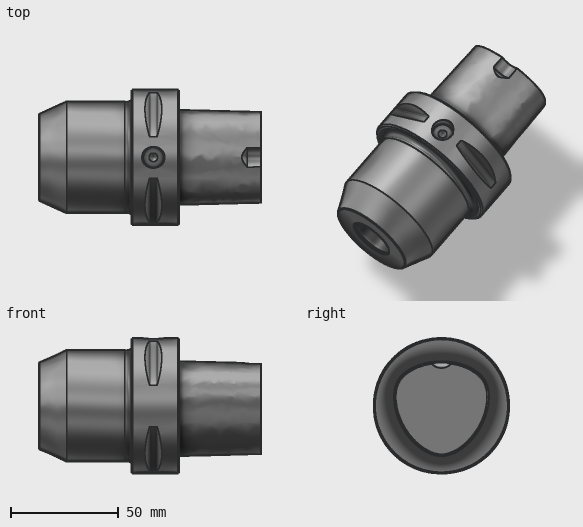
import cadquery as cq
import math

LENGTH = 103.0

NOSE_DIA = 40.6
NOSE_CHAMFER = 0.6
NOSE_CONE_LENGTH = 12.9
BODY_DIA = 52.0
RELIEF_DIA = 51.8
RELIEF_START = 39.9
FILLET_START = 41.1

FLANGE_DIA = 63.0
FLANGE_START = 42.8
FLANGE_END = 65.0
FLANGE_CHAMFER = 0.7
RECESS_OUTER_DIA = 58.3
RECESS_INNER_DIA = 56.2
RECESS_DEPTH = 0.5

SHANK_BASE_WIDTH = 44.2
SHANK_TAPER = 1 / 20
LOBE_HEIGHT = 1.3
SHANK_POINTS = 72

KEYWAY_LENGTH = 6.4
KEYWAY_RADIUS = 5.9
KEYWAY_FLOOR_HEIGHT = 17.5

BORE_DIA = 20.0
BORE_DEPTH = 51.5
BORE_FLOOR_CHAMFER = 0.4
MOUTH_DIA = 20.5
MOUTH_DEPTH = 1.0
MOUTH_CHAMFER = 0.4

GROOVE_CENTRE = 53.0
GROOVE_FLOOR_WIDTH = 3.5
GROOVE_FLOOR_FILLET = 0.6
GROOVE_TOP_WIDTH = 7.8
GROOVE_FLOOR_RADIUS = 28.0
GROOVE_ANGLES = (45, 135, 225, 315)
CODING_HOLE_DIA = 10.0
CODING_HOLE_DEPTH = 4.9
CODING_HOLE_CHAMFER = 0.3
DIMPLE_DIA = 4.0
DIMPLE_POINT_ANGLE = 118.0


def make_body():
    """Nose, cylindrical body and flange, turned about X."""
    nose_radius = NOSE_DIA / 2
    flange_radius = FLANGE_DIA / 2
    relief_radius = RELIEF_DIA / 2
    recess_radius = RECESS_INNER_DIA / 2
    recess_floor = FLANGE_START + RECESS_DEPTH
    return (
        cq.Workplane("XY")
        .moveTo(0, 0)
        .lineTo(0, nose_radius - NOSE_CHAMFER)
        .lineTo(NOSE_CHAMFER / 2, nose_radius)
        .lineTo(NOSE_CONE_LENGTH, BODY_DIA / 2)
        .lineTo(RELIEF_START, BODY_DIA / 2)
        .lineTo(RELIEF_START, relief_radius)
        .lineTo(FILLET_START, relief_radius)
        .tangentArcPoint((recess_floor, recess_radius), relative=False)
        .lineTo(FLANGE_START, RECESS_OUTER_DIA / 2)
        .lineTo(FLANGE_START, flange_radius - FLANGE_CHAMFER)
        .lineTo(FLANGE_START + FLANGE_CHAMFER, flange_radius)
        .lineTo(FLANGE_END - FLANGE_CHAMFER, flange_radius)
        .lineTo(FLANGE_END, flange_radius - FLANGE_CHAMFER)
        .lineTo(FLANGE_END, 0)
        .close()
        .revolve(360, (0, 0, 0), (1, 0, 0))
    )


def lobed_outline(width):
    """Points of a constant-width three-lobed curve with one lobe toward -Z."""
    points = []
    for index in range(SHANK_POINTS):
        angle = 2 * math.pi * index / SHANK_POINTS
        reach = width / 2 + LOBE_HEIGHT * math.sin(3 * angle)
        slope = 3 * LOBE_HEIGHT * math.cos(3 * angle)
        y = reach * math.cos(angle) - slope * math.sin(angle)
        z = reach * math.sin(angle) + slope * math.cos(angle)
        points.append((y, z))
    return points


def make_shank():
    """Loft between the lobed sections at the flange and at the free end."""
    length = LENGTH - FLANGE_END
    end_width = SHANK_BASE_WIDTH - SHANK_TAPER * length
    return (
        cq.Workplane("YZ", origin=(FLANGE_END, 0, 0))
        .spline(lobed_outline(SHANK_BASE_WIDTH), periodic=True)
        .close()
        .workplane(offset=length)
        .spline(lobed_outline(end_width), periodic=True)
        .close()
        .loft(combine=True)
    )


def make_bore():
    """Blind clamping bore with a chamfered, slightly wider mouth and a chamfered floor."""
    radius = BORE_DIA / 2
    mouth_radius = MOUTH_DIA / 2
    return (
        cq.Workplane("XY")
        .moveTo(0, 0)
        .lineTo(0, mouth_radius + MOUTH_CHAMFER)
        .lineTo(MOUTH_CHAMFER, mouth_radius)
        .lineTo(MOUTH_DEPTH, mouth_radius)
        .lineTo(MOUTH_DEPTH, radius)
        .lineTo(BORE_DEPTH - BORE_FLOOR_CHAMFER, radius)
        .lineTo(BORE_DEPTH, radius - BORE_FLOOR_CHAMFER)
        .lineTo(BORE_DEPTH, 0)
        .close()
        .revolve(360, (0, 0, 0), (1, 0, 0))
    )


def make_gripper_groove(angle):
    """Straight groove with sloped flanks, cut across the flange rim."""
    depth = FLANGE_DIA / 2 - GROOVE_FLOOR_RADIUS
    half_floor = GROOVE_FLOOR_WIDTH / 2
    half_top = GROOVE_TOP_WIDTH / 2
    return (
        cq.Workplane("XZ", origin=(GROOVE_CENTRE, 0, GROOVE_FLOOR_RADIUS))
        .moveTo(-half_floor, 0)
        .lineTo(half_floor, 0)
        .lineTo(half_top, depth)
        .lineTo(-half_top, depth)
        .close()
        .extrude(FLANGE_DIA / 2, both=True)
        .faces("<Z")
        .edges("|Y")
        .fillet(GROOVE_FLOOR_FILLET)
        .rotate((0, 0, 0), (1, 0, 0), angle)
    )


def make_coding_hole():
    """Blind hole on top of the flange, chamfered at mouth and floor, with a drill dimple in its floor."""
    radius = CODING_HOLE_DIA / 2
    top = FLANGE_DIA / 2
    floor = top - CODING_HOLE_DEPTH
    dimple_radius = DIMPLE_DIA / 2
    dimple_depth = dimple_radius / math.tan(math.radians(DIMPLE_POINT_ANGLE / 2))
    return (
        cq.Workplane("XZ", origin=(GROOVE_CENTRE, 0, 0))
        .moveTo(0, top)
        .lineTo(radius + CODING_HOLE_CHAMFER, top)
        .lineTo(radius, top - CODING_HOLE_CHAMFER)
        .lineTo(radius, floor + CODING_HOLE_CHAMFER)
        .lineTo(radius - CODING_HOLE_CHAMFER, floor)
        .lineTo(dimple_radius, floor)
        .lineTo(0, floor - dimple_depth)
        .close()
        .revolve(360, (0, 0, 0), (0, 1, 0))
    )


def make_keyway():
    """Round-bottomed keyway in the top of the shank with a 45 degree conical run-out."""
    axis_height = KEYWAY_FLOOR_HEIGHT + KEYWAY_RADIUS
    start = LENGTH - KEYWAY_LENGTH
    return (
        cq.Workplane("XY", origin=(0, 0, axis_height))
        .moveTo(LENGTH, 0)
        .lineTo(LENGTH, KEYWAY_RADIUS)
        .lineTo(start, KEYWAY_RADIUS)
        .lineTo(start - KEYWAY_RADIUS, 0)
        .close()
        .revolve(360, (0, 0, 0), (1, 0, 0))
    )


result = make_body().union(make_shank())
for groove_angle in GROOVE_ANGLES:
    result = result.cut(make_gripper_groove(groove_angle))
result = result.cut(make_bore()).cut(make_coding_hole()).cut(make_keyway())